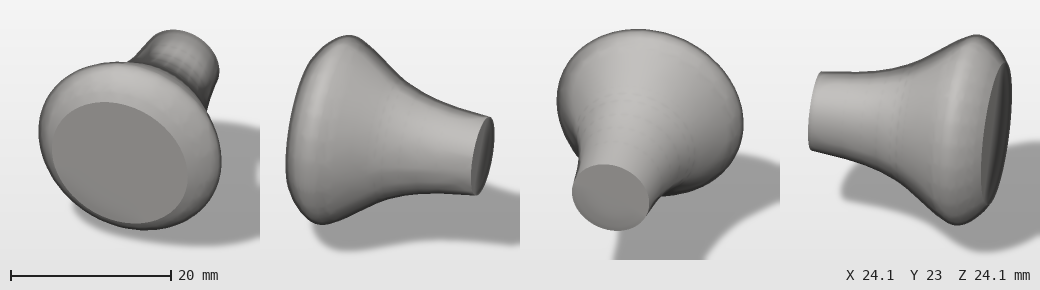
import cadquery as cq

knob_diameter = 24.05
knob_length = 23.0
face_diameter = 18.03
stem_diameter = 10.0
rim_depth = 3.73

knob_radius = knob_diameter / 2
face_radius = face_diameter / 2
stem_radius = stem_diameter / 2

front_shoulder_point = (11.18, 1.83)
rim_point = (knob_radius, rim_depth)
back_shoulder_point = (11.42, 5.53)
flare_point = (8.13, 10.5)
waist_point = (6.55, 14.02)
neck_point = (5.58, 18.13)
stem_end_point = (stem_radius, knob_length)


def make_profile():
    """Closed half section: flat face, one smooth side curve and flat stem end."""
    return (
        cq.Workplane("XY")
        .lineTo(face_radius, 0)
        .spline(
            [
                front_shoulder_point,
                rim_point,
                back_shoulder_point,
                flare_point,
                waist_point,
                neck_point,
                stem_end_point,
            ],
            includeCurrent=True,
        )
        .lineTo(0, knob_length)
        .close()
    )


result = make_profile().revolve(360, (0, 0), (0, 1))